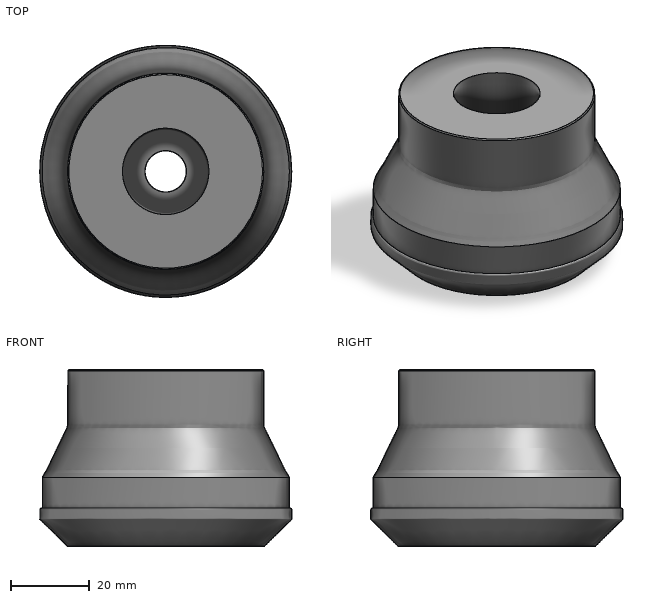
import cadquery as cq

outer_diameter = 64.2
total_height = 45.0
through_hole_diameter = 10.5

base_height = 9.75
base_bottom_diameter = 50.2
rim_bottom_height = 6.9
rim_top_fillet = 0.5
rim_bottom_fillet = 0.3

band_diameter = 63.0
band_top_height = 17.55
shoulder_diameter = 61.8
shoulder_height = 18.6
cone_bottom_diameter = 60.75
cone_bottom_height = 19.4
cone_middle_diameter = 55.5
cone_middle_height = 24.9
neck_diameter = 50.0
cone_top_height = 30.5
neck_fillet = 1.9
neck_chamfer = 0.3

bore_diameter = 22.0
bore_floor_height = 12.85
bore_floor_fillet = 0.5


def make_base():
    """Ring that carries the housing on its flat upper face."""
    skirt = (
        cq.Workplane("XZ")
        .moveTo(0, 0)
        .lineTo(base_bottom_diameter / 2, 0)
        .lineTo(outer_diameter / 2, rim_bottom_height)
        .lineTo(outer_diameter / 2, base_height)
        .lineTo(0, base_height)
        .close()
        .revolve(360, (0, 0, 0), (0, 1, 0))
    )
    skirt = skirt.faces(">Z").edges().fillet(rim_top_fillet)
    rim_bottom_edge = cq.selectors.BoxSelector(
        (-outer_diameter, -outer_diameter, rim_bottom_height - rim_bottom_fillet),
        (outer_diameter, outer_diameter, rim_bottom_height + rim_bottom_fillet),
        boundingbox=True,
    )
    skirt = skirt.edges(rim_bottom_edge).fillet(rim_bottom_fillet)
    return skirt.cut(cq.Workplane("XY").circle(through_hole_diameter / 2).extrude(base_height))


def make_housing_blank():
    """Solid outer form, with the cone in two parts of nearly equal slope."""
    blank = (
        cq.Workplane("XZ")
        .moveTo(0, base_height)
        .lineTo(band_diameter / 2, base_height)
        .lineTo(band_diameter / 2, band_top_height)
        .lineTo(shoulder_diameter / 2, shoulder_height)
        .lineTo(cone_bottom_diameter / 2, cone_bottom_height)
        .lineTo(cone_middle_diameter / 2, cone_middle_height)
        .lineTo(neck_diameter / 2, cone_top_height)
        .lineTo(neck_diameter / 2, total_height)
        .lineTo(0, total_height)
        .close()
        .revolve(360, (0, 0, 0), (0, 1, 0))
    )
    neck_root_edge = cq.selectors.BoxSelector(
        (-outer_diameter, -outer_diameter, cone_top_height - neck_fillet),
        (outer_diameter, outer_diameter, cone_top_height + neck_fillet),
        boundingbox=True,
    )
    blank = blank.edges(neck_root_edge).fillet(neck_fillet)
    return blank.faces(">Z").edges().chamfer(neck_chamfer)


def make_housing():
    """Housing with a round-cornered bore and a smaller hole through its floor."""
    bore = (
        cq.Workplane("XY", origin=(0, 0, bore_floor_height))
        .circle(bore_diameter / 2)
        .extrude(total_height - bore_floor_height)
        .faces("<Z")
        .edges()
        .fillet(bore_floor_fillet)
    )
    through_hole = cq.Workplane("XY").circle(through_hole_diameter / 2).extrude(total_height)
    return make_housing_blank().cut(bore).cut(through_hole)


base = make_base()
housing = make_housing()
result = cq.Compound.makeCompound([base.val(), housing.val()])